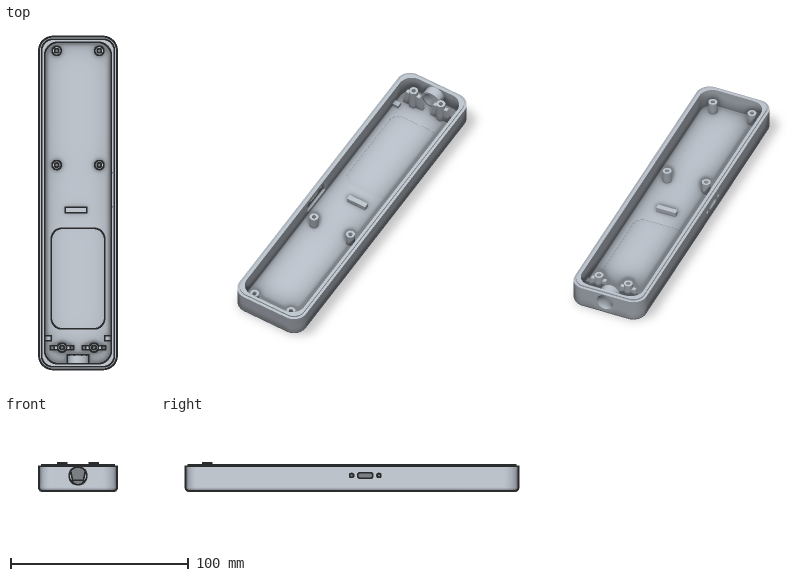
import cadquery as cq

WIDTH = 44.0
LENGTH = 187.3
RIM_Z = 15.0
CORNER_RADIUS = 8.0
BOTTOM_FILLET = 2.0

LIP_INSET = 1.5
LIP_HEIGHT = 1.0

WALL = 3.2
FLOOR_Z = 3.0
CAVITY_CORNER_RADIUS = 7.9
CAVITY_FILLET = 0.5

RECESS_WIDTH = 30.0
RECESS_LENGTH = 56.5
RECESS_CENTER_Y = -42.5
RECESS_CORNER_RADIUS = 6.0
RECESS_DEPTH = 0.2

POST_DIAMETER = 5.0
POST_HOLE_DIAMETER = 2.5
SHORT_POST_TOP_Z = 10.3
SHORT_POST_X = 12.0
SHORT_POST_Y = (85.5, 21.3)
TALL_POST_TOP_Z = 16.0
TALL_POST_X = 9.0
TALL_POST_Y = -81.3

RIB_THICKNESS = 2.2
RIB_FOOT_LENGTH = 13.1
RIB_TOP_LENGTH = 9.0
RIB_TOP_Z = 13.1

BAR_LENGTH = 12.0
BAR_THICKNESS = 3.0
BAR_TOP_Z = 6.0
BAR_X = -1.1
BAR_Y = -4.0

TAB_REACH = 3.7
TAB_THICKNESS = 3.0
TAB_HEIGHT = 2.0
TAB_Y = -76.0

INLET_Z = 8.6
INLET_BORE = 10.0
INLET_OUTER_DIAMETER = 12.0
INLET_INNER_END_Y = -85.4

SWITCH_Y = 7.5
SWITCH_Z = 8.8
SEAT_LENGTH = 19.3
SEAT_HEIGHT = 7.0
SEAT_DEPTH = 1.5
SLOT_LENGTH = 8.6
SLOT_HEIGHT = 3.2
SWITCH_HOLE_DIAMETER = 2.2
SWITCH_HOLE_SPACING = 15.4

CAVITY_WIDTH = WIDTH - 2 * WALL
CAVITY_LENGTH = LENGTH - 2 * WALL
INNER_X = CAVITY_WIDTH / 2


def rounded_block(width, length, radius, bottom_z, top_z):
    """Block centred in X and Y with rounded vertical corners."""
    block = cq.Workplane("XY").box(width, length, top_z - bottom_z, centered=(True, True, False))
    return block.edges("|Z").fillet(radius).translate((0, 0, bottom_z))


def block_on_floor(width, length, x, y, top_z):
    """Block rising from inside the floor slab, centred on (x, y)."""
    base_z = FLOOR_Z / 2
    block = cq.Workplane("XY").box(width, length, top_z - base_z, centered=(True, True, False))
    return block.translate((x, y, base_z))


def cylinder_on_floor(diameter, x, y, bottom_z, top_z):
    return cq.Workplane("XY", origin=(x, y, bottom_z)).circle(diameter / 2).extrude(top_z - bottom_z)


def make_tray():
    shoulder_z = RIM_Z - LIP_HEIGHT
    body = rounded_block(WIDTH, LENGTH, CORNER_RADIUS, 0, shoulder_z)
    body = body.faces("<Z").edges().fillet(BOTTOM_FILLET)
    lip = rounded_block(
        WIDTH - 2 * LIP_INSET,
        LENGTH - 2 * LIP_INSET,
        CORNER_RADIUS - LIP_INSET,
        FLOOR_Z,
        RIM_Z,
    )
    cavity = rounded_block(CAVITY_WIDTH, CAVITY_LENGTH, CAVITY_CORNER_RADIUS, FLOOR_Z, RIM_Z)
    cavity = cavity.faces("<Z").edges().fillet(CAVITY_FILLET)
    recess = rounded_block(
        RECESS_WIDTH,
        RECESS_LENGTH,
        RECESS_CORNER_RADIUS,
        FLOOR_Z - RECESS_DEPTH,
        FLOOR_Z,
    ).translate((0, RECESS_CENTER_Y, 0))
    return body.union(lip).cut(cavity).cut(recess)


def add_post(part, x, y, top_z):
    """Post with a blind hole reaching down to the floor."""
    post = cylinder_on_floor(POST_DIAMETER, x, y, FLOOR_Z / 2, top_z)
    hole = cylinder_on_floor(POST_HOLE_DIAMETER, x, y, FLOOR_Z, top_z)
    return part.union(post).cut(hole)


def make_rib(x, y):
    """Rib along X whose two ends lean inward toward the top."""
    half_foot = RIB_FOOT_LENGTH / 2
    half_top = RIB_TOP_LENGTH / 2
    outline = [
        (-half_foot, FLOOR_Z),
        (half_foot, FLOOR_Z),
        (half_top, RIB_TOP_Z),
        (-half_top, RIB_TOP_Z),
    ]
    rib = cq.Workplane("XZ").polyline(outline).close().extrude(RIB_THICKNESS / 2, both=True)
    return rib.translate((x, y, 0))


def add_inlet(part):
    outer_y = -LENGTH / 2
    tube_start_y = outer_y + WALL / 2
    tube = (
        cq.Workplane("XZ", origin=(0, tube_start_y, INLET_Z))
        .circle(INLET_OUTER_DIAMETER / 2)
        .extrude(tube_start_y - INLET_INNER_END_Y)
    )
    bore = (
        cq.Workplane("XZ", origin=(0, outer_y, INLET_Z))
        .circle(INLET_BORE / 2)
        .extrude(outer_y - INLET_INNER_END_Y)
    )
    return part.union(tube).cut(bore)


def cut_switch_seat(part):
    """Recess on the inside of the +X wall, with a round-ended slot and two screw holes through it."""
    wall_plane = cq.Workplane("YZ", origin=(INNER_X, SWITCH_Y, SWITCH_Z))
    seat = wall_plane.rect(SEAT_LENGTH, SEAT_HEIGHT).extrude(SEAT_DEPTH)
    slot = wall_plane.slot2D(SLOT_LENGTH, SLOT_HEIGHT).extrude(WALL)
    holes = (
        wall_plane.rarray(SWITCH_HOLE_SPACING, 1.9, 2, 1)
        .circle(SWITCH_HOLE_DIAMETER / 2)
        .extrude(WALL)
    )
    return part.cut(seat).cut(slot).cut(holes)


part = make_tray()
part = part.union(block_on_floor(BAR_LENGTH, BAR_THICKNESS, BAR_X, BAR_Y, BAR_TOP_Z))

for side in (-1, 1):
    tab_width = TAB_REACH + WALL / 2
    tab_x = side * (INNER_X - TAB_REACH + tab_width / 2)
    part = part.union(block_on_floor(tab_width, TAB_THICKNESS, tab_x, TAB_Y, FLOOR_Z + TAB_HEIGHT))
    part = part.union(make_rib(side * TALL_POST_X, TALL_POST_Y))
    part = add_post(part, side * TALL_POST_X, TALL_POST_Y, TALL_POST_TOP_Z)
    for post_y in SHORT_POST_Y:
        part = add_post(part, side * SHORT_POST_X, post_y, SHORT_POST_TOP_Z)

part = add_inlet(part)
result = cut_switch_seat(part)